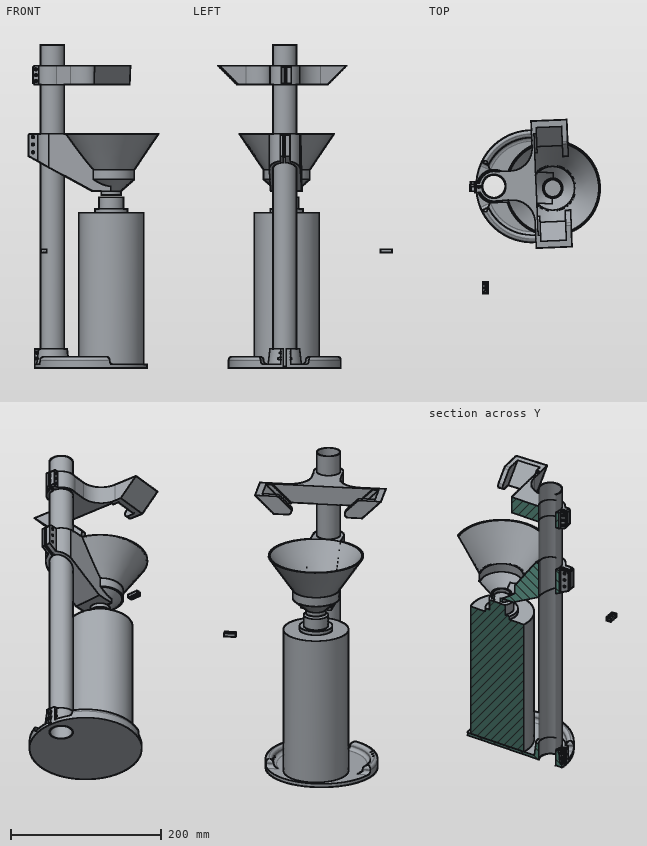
import cadquery as cq
import math


post_height = 430.0
post_radius = 16.0
post_bore_radius = 15.0

ear_back = 5.0
ear_front = 7.7
clamp_slit = 2.5
screw_radius = 1.5

base_radius = 75.0
base_center_x = 51.0
floor_height = 5.0
rim_top = 15.5
rim_width = 10.0
rim_fillet = 4.7
rim_gap_angle = 25.5
rim_end_x = 76.0
socket_top = 26.0
socket_top_radius = 19.8
socket_foot_radius = 23.0
socket_slit = 3.5
socket_slit_bottom = 2.5
socket_screw_x = -20.5
socket_screw_heights = [13.0, 20.5]

bottle_x = 78.3
bottle_y = -2.5
body_radius = 43.5
body_top = 207.0
collar_radius = 22.0
collar_top = 212.0
neck_radius = 16.5
neck_top = 227.5

funnel_reach = math.hypot(bottle_x, bottle_y)
funnel_turn = math.degrees(math.atan2(bottle_y, bottle_x))
funnel_top = 311.8
hopper_bottom = 264.0
throat_bottom = 251.0
spout_top = 235.5
spout_bottom = 230.0
hopper_radius = 63.0
throat_radius = 31.0
spout_radius = 13.5
funnel_wall = 1.95
bracket_half_width = 20.5
bracket_slab_x = -4.0
bracket_ear_x = -32.0
bracket_ear_bottom = 282.0
bracket_knee_x = 53.5
bracket_ear_chamfer = 1.7
bracket_screw_x = -26.0
bracket_screw_heights = [287.2, 297.5, 307.5]

holder_turn = 2.4
holder_bottom = 377.0
holder_top = 402.5
holder_height = holder_top - holder_bottom
holder_half_span = 84.5
holder_ring_radius = 19.8
arm_half_width = 19.5
arm_fillet = 30.0
bar_back_x = 53.0
bar_thickness = 3.22
hook_back_wall = 6.5
hook_front_x = 100.5
hook_front_wall = 7.5
hook_end_wall = 9.0
back_wall_length = 17.0
front_wall_length = 31.0
front_wall_fillet = 5.0
holder_ear_x = -26.0
holder_ear_chamfer = 2.0
holder_screw_x = -22.0
holder_screw_spacing = 7.7

plate_x = -11.0
plate_y = -135.0
plate_z = 156.0
plate_width = 7.5
plate_length = 15.5
plate_height = 4.7
plate_hole_x = -10.8
plate_hole_spacing = 5.0


def cylinder(radius, bottom, top):
    """Upright cylinder on the post axis."""
    return cq.Workplane("XY").workplane(offset=bottom).circle(radius).extrude(top - bottom)


def block(x_range, y_range, z_range):
    """Box given by its limits along each axis."""
    sizes = [high - low for low, high in (x_range, y_range, z_range)]
    corner = (x_range[0], y_range[0], z_range[0])
    return cq.Workplane("XY").box(*sizes, centered=False).translate(corner)


def clamp_ears(x_outer, bottom, top):
    """Block for both ears, reaching from the ear tips to the post axis."""
    return block((x_outer, 0), (-ear_front, ear_back), (bottom, top))


def slit(x_outer, width, bottom, top):
    """Gap between the two ears."""
    return block((x_outer, 0), (-width / 2, width / 2), (bottom, top))


def screw_holes(x, heights):
    """Holes along Y through both ears."""
    return (
        cq.Workplane("XZ")
        .pushPoints([(x, z) for z in heights])
        .circle(screw_radius)
        .extrude(bracket_half_width, both=True)
    )


def make_post():
    return cylinder(post_radius, 0, post_height).cut(cylinder(post_bore_radius, 0, post_height))


def make_rim_wall():
    """Arc wall on the +Y half of the floor, from beside the post to the open +X side."""
    reach = 2 * base_radius
    ring = (
        cq.Workplane("XY")
        .circle(base_radius)
        .circle(base_radius - rim_width)
        .extrude(rim_top)
    )
    sector = (
        cq.Workplane("XY")
        .moveTo(0, 0)
        .lineTo(-reach, reach * math.tan(math.radians(rim_gap_angle)))
        .lineTo(-reach, reach)
        .lineTo(rim_end_x - base_center_x, reach)
        .lineTo(rim_end_x - base_center_x, 0)
        .close()
        .extrude(rim_top)
    )
    return ring.intersect(sector)


def is_wall_foot(edge):
    """True for the edges where the rim wall rises from the floor inside the disc outline."""
    tolerance = 0.05
    limits = edge.BoundingBox()
    at_floor = max(abs(limits.zmin - floor_height), abs(limits.zmax - floor_height)) < tolerance
    on_split = limits.ymax < tolerance
    on_outline = edge.geomType() == "CIRCLE" and edge.radius() > base_radius - rim_width / 2
    return at_floor and not on_split and not on_outline


def make_floor_pan():
    """Disc with two rounded rim walls, built as one half and mirrored."""
    half_space = block((-base_radius, base_radius), (0, base_radius), (0, rim_top))
    half_disc = cylinder(base_radius, 0, floor_height).intersect(half_space)
    half = half_disc.union(make_rim_wall())
    half = half.edges().filter(is_wall_foot).fillet(rim_fillet)
    half = half.faces(">Z").edges().fillet(rim_fillet)
    return half.union(half.mirror("XZ")).translate((base_center_x, 0, 0))


def make_base():
    socket = (
        cq.Workplane("XY")
        .circle(socket_foot_radius)
        .workplane(offset=socket_top)
        .circle(socket_top_radius)
        .loft()
    )
    base_left = base_center_x - base_radius
    ears = clamp_ears(base_left, 0, socket_top)
    rim_cylinder = cylinder(base_radius, 0, socket_top).translate((base_center_x, 0, 0))
    tower = socket.union(ears).intersect(rim_cylinder)
    return (
        make_floor_pan().union(tower)
        .cut(cylinder(post_radius, 0, socket_top))
        .cut(slit(base_left, socket_slit, socket_slit_bottom, socket_top))
        .cut(screw_holes(socket_screw_x, socket_screw_heights))
    )


def make_bottle():
    bottle = (
        cylinder(body_radius, floor_height, body_top)
        .union(cylinder(collar_radius, body_top, collar_top))
        .union(cylinder(neck_radius, collar_top, neck_top))
    )
    return bottle.translate((bottle_x, bottle_y, 0))


def funnel_solid(inset):
    """Solid of revolution of the funnel, shrunk radially by the inset."""
    profile = [
        (0, spout_bottom),
        (spout_radius - inset, spout_bottom),
        (spout_radius - inset, spout_top),
        (throat_radius - inset, throat_bottom),
        (throat_radius - inset, hopper_bottom),
        (hopper_radius - inset, funnel_top),
        (0, funnel_top),
    ]
    turned = cq.Workplane("XZ").polyline(profile).close().revolve(360, (0, 0), (0, 1))
    return turned.translate((funnel_reach, 0, 0))


def make_funnel():
    side_profile = (
        cq.Workplane("XZ")
        .moveTo(bracket_ear_x, bracket_ear_bottom)
        .lineTo(bracket_knee_x, spout_top)
        .lineTo(funnel_reach, spout_top)
        .lineTo(funnel_reach, funnel_top)
        .lineTo(bracket_ear_x, funnel_top)
        .close()
        .extrude(bracket_half_width, both=True)
    )
    ring = cylinder(bracket_half_width, spout_top, funnel_top)
    slab = block(
        (bracket_slab_x, funnel_reach),
        (-bracket_half_width, bracket_half_width),
        (spout_top, funnel_top),
    )
    ears = clamp_ears(bracket_ear_x, spout_top, funnel_top)
    ears = ears.edges("<X and >Z").chamfer(bracket_ear_chamfer)
    bracket = ring.union(slab).union(ears).intersect(side_profile)
    funnel = (
        bracket.union(funnel_solid(0))
        .cut(funnel_solid(funnel_wall))
        .cut(cylinder(post_radius, spout_top, funnel_top))
        .cut(slit(bracket_ear_x, clamp_slit, spout_top, funnel_top))
        .cut(screw_holes(bracket_screw_x, bracket_screw_heights))
    )
    return funnel.rotate((0, 0, 0), (0, 0, 1), funnel_turn)


def slanted_wall(x_start, x_end, length):
    """Wall along Y whose two ends lean inward at 45 degrees toward the bottom."""
    top_outer = holder_half_span
    top_inner = top_outer - length
    return (
        cq.Workplane("YZ")
        .workplane(offset=x_start)
        .moveTo(top_outer, holder_top)
        .lineTo(top_inner, holder_top)
        .lineTo(top_inner - holder_height, holder_bottom)
        .lineTo(top_outer - holder_height, holder_bottom)
        .close()
        .extrude(x_end - x_start)
    )


def make_hook():
    """Hook at the +Y end of the holder bar."""
    back_wall = slanted_wall(bar_back_x, bar_back_x + hook_back_wall, back_wall_length)
    end_wall = slanted_wall(bar_back_x, hook_front_x, hook_end_wall)
    front_wall = slanted_wall(hook_front_x - hook_front_wall, hook_front_x, front_wall_length)
    inner_edges = cq.selectors.SumSelector(
        cq.selectors.NearestToPointSelector(
            (hook_front_x, holder_half_span - front_wall_length, holder_top)
        ),
        cq.selectors.StringSyntaxSelector("|X and <Y"),
    )
    front_wall = front_wall.edges(inner_edges).fillet(front_wall_fillet)
    return end_wall.union(back_wall).union(front_wall)


def make_holder_arm():
    """Flared arm that joins the post ring to the thin bar between the hooks."""
    flare_x = bar_back_x - arm_fillet
    flare_y = arm_half_width + arm_fillet
    bar_front_x = bar_back_x + bar_thickness
    bar_end = holder_half_span - hook_end_wall / 2
    diagonal = arm_fillet * math.sqrt(0.5)
    outline = (
        cq.Workplane("XY")
        .workplane(offset=holder_bottom)
        .moveTo(0, arm_half_width)
        .lineTo(flare_x, arm_half_width)
        .threePointArc((flare_x + diagonal, flare_y - diagonal), (bar_back_x, flare_y))
        .lineTo(bar_back_x, bar_end)
        .lineTo(bar_front_x, bar_end)
        .lineTo(bar_front_x, -bar_end)
        .lineTo(bar_back_x, -bar_end)
        .lineTo(bar_back_x, -flare_y)
        .threePointArc((flare_x + diagonal, diagonal - flare_y), (flare_x, -arm_half_width))
        .lineTo(0, -arm_half_width)
        .close()
        .extrude(holder_height)
    )
    bottom_half_span = holder_half_span - holder_height
    slanted_ends = (
        cq.Workplane("YZ")
        .moveTo(-holder_half_span, holder_top)
        .lineTo(holder_half_span, holder_top)
        .lineTo(bottom_half_span, holder_bottom)
        .lineTo(-bottom_half_span, holder_bottom)
        .close()
        .extrude(hook_front_x)
    )
    return outline.intersect(slanted_ends)


def make_cap_holder():
    hook = make_hook()
    ring = cylinder(holder_ring_radius, holder_bottom, holder_top)
    ears = clamp_ears(holder_ear_x, holder_bottom, holder_top)
    ears = ears.edges("<X and |Y").chamfer(holder_ear_chamfer)
    middle = (holder_bottom + holder_top) / 2
    screw_heights = [middle + step * holder_screw_spacing for step in (-1, 0, 1)]
    holder = (
        make_holder_arm()
        .union(hook)
        .union(hook.mirror("XZ"))
        .union(ring)
        .union(ears)
        .cut(cylinder(post_radius, holder_bottom, holder_top))
        .cut(slit(holder_ear_x, clamp_slit, holder_bottom, holder_top))
        .cut(screw_holes(holder_screw_x, screw_heights))
    )
    return holder.rotate((0, 0, 0), (0, 0, 1), holder_turn)


def make_clamp_plate():
    plate = cq.Workplane("XY").box(plate_width, plate_length, plate_height)
    holes = (
        cq.Workplane("XY")
        .pushPoints([(plate_hole_x - plate_x, step * plate_hole_spacing) for step in (-1, 0, 1)])
        .circle(screw_radius)
        .extrude(plate_height, both=True)
    )
    return plate.cut(holes).translate((plate_x, plate_y, plate_z))


post = make_post()
base = make_base()
bottle = make_bottle()
funnel = make_funnel()
cap_holder = make_cap_holder()
clamp_plate = make_clamp_plate()

bodies = [post, base, bottle, funnel, cap_holder, clamp_plate]
result = cq.Compound.makeCompound([body.solids().val() for body in bodies])